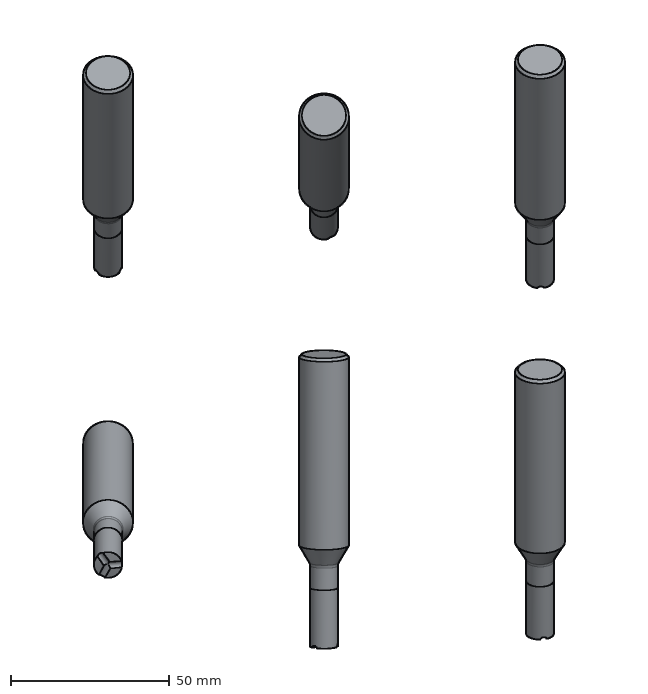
import cadquery as cq
import math

total_length = 94.25
shank_diameter = 15.8
neck_diameter = 9.0

tip_length = 19.1
cone_top = 32.8

end_chamfer = 0.9
cone_half_angle = math.radians(30)
neck_fillet_radius = 2.0

rim_rise = 0.3

groove_count = 3
groove_radius = 1.1
groove_depth = 1.0
first_groove_angle = 30.0

shank_radius = shank_diameter / 2
neck_radius = neck_diameter / 2

fillet_drop = neck_fillet_radius * math.sin(cone_half_angle)
cone_small_radius = neck_radius + neck_fillet_radius * (1 - math.cos(cone_half_angle))
cone_bottom = cone_top - (shank_radius - cone_small_radius) / math.tan(cone_half_angle)
fillet_bottom = cone_bottom - fillet_drop
fillet_middle = (
    neck_radius + neck_fillet_radius * (1 - math.cos(cone_half_angle / 2)),
    fillet_bottom + neck_fillet_radius * math.sin(cone_half_angle / 2),
)

groove_half_width = math.sqrt(groove_radius**2 - (groove_radius - groove_depth) ** 2)
corner_distance = groove_half_width / math.sin(math.pi / groove_count)
end_face_slope = rim_rise / (neck_radius - corner_distance)
apex_height = -corner_distance * end_face_slope


def make_shank():
    """Chamfered round shank that tapers down to a filleted neck."""
    return (
        cq.Workplane("XZ")
        .moveTo(0, tip_length)
        .lineTo(neck_radius, tip_length)
        .lineTo(neck_radius, fillet_bottom)
        .threePointArc(fillet_middle, (cone_small_radius, cone_bottom))
        .lineTo(shank_radius, cone_top)
        .lineTo(shank_radius, total_length - end_chamfer)
        .lineTo(shank_radius - end_chamfer, total_length)
        .lineTo(0, total_length)
        .close()
        .revolve(360, (0, 0, 0), (0, 1, 0))
    )


def make_groove(angle):
    """Round-bottomed cutter running from the axis out past the rim."""
    return (
        cq.Workplane("YZ")
        .center(0, groove_depth - groove_radius)
        .circle(groove_radius)
        .extrude(neck_diameter)
        .rotate((0, 0, 0), (0, 0, 1), angle)
    )


def make_tip():
    """Cylindrical tip with equally spaced radial grooves across its conical end face."""
    tip = (
        cq.Workplane("XZ")
        .moveTo(0, apex_height)
        .lineTo(neck_radius, rim_rise)
        .lineTo(neck_radius, tip_length)
        .lineTo(0, tip_length)
        .close()
        .revolve(360, (0, 0, 0), (0, 1, 0))
    )
    for index in range(groove_count):
        tip = tip.cut(make_groove(first_groove_angle + index * 360 / groove_count))
    return tip.solids()


shank = make_shank()
tip = make_tip()

result = cq.Compound.makeCompound([shank.val(), tip.val()])